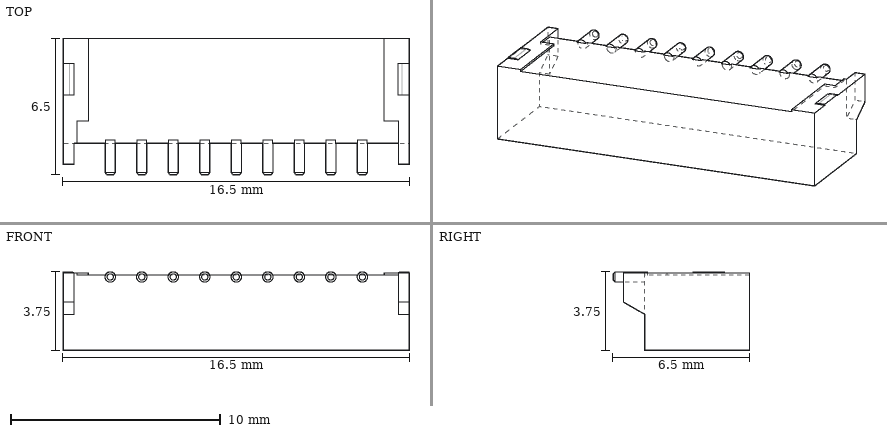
import cadquery as cq

WIDTH = 16.5
DEPTH = 5.0
BODY_TOP = 3.6

CHEEK_TOP = 3.7
RIM_WIDTH = 1.2
RIM_LENGTH = 3.95
ARM_WIDTH = 0.53
ARM_OVERHANG = 1.0
ARM_NOSE_BOTTOM = 2.3
ARM_ROOT_BOTTOM = 1.72

LEFT_RIM_FRONT_WIDTH = 0.66
RIGHT_RIM_FRONT_WIDTH = ARM_WIDTH

PAD_HEIGHT = 0.05
PAD_START = 1.2
PAD_LENGTH = 1.48
PAD_FLAT_WIDTH = 0.31
PAD_WIDTH = 0.51
LEFT_PAD_INSET = 0.0
RIGHT_PAD_INSET = 0.03

PIN_COUNT = 9
PIN_PITCH = 1.5
PIN_RADIUS = 0.25
PIN_BACK = 4.85
PIN_TIP = 6.5
PIN_CHAMFER = 0.1

TOTAL_TOP = CHEEK_TOP + PAD_HEIGHT
LEFT = -WIDTH / 2


def make_body():
    """Main block with its back face on Y = 0 and its underside on Z = 0."""
    return cq.Workplane("XY").box(WIDTH, DEPTH, BODY_TOP, centered=(True, False, False)).translate((0, -DEPTH, 0))


def make_rim(front_width):
    """Stepped strip raised above the body along the left end."""
    return (
        cq.Workplane("XY", origin=(LEFT, 0, BODY_TOP))
        .polyline([
            (0, 0),
            (RIM_WIDTH, 0),
            (RIM_WIDTH, -RIM_LENGTH),
            (front_width, -RIM_LENGTH),
            (front_width, -DEPTH),
            (0, -DEPTH),
        ])
        .close()
        .extrude(CHEEK_TOP - BODY_TOP)
    )


def make_arm():
    """Left arm reaching past the front face, with a sloping underside."""
    arm_front = -DEPTH - ARM_OVERHANG
    return (
        cq.Workplane("YZ", origin=(LEFT, 0, 0))
        .polyline([
            (-RIM_LENGTH, CHEEK_TOP),
            (arm_front, CHEEK_TOP),
            (arm_front, ARM_NOSE_BOTTOM),
            (-DEPTH, ARM_ROOT_BOTTOM),
            (-RIM_LENGTH, ARM_ROOT_BOTTOM),
        ])
        .close()
        .extrude(ARM_WIDTH)
    )


def make_pad(inset):
    """Left pad: flat outer part, then an arc that falls smoothly to the rim."""
    return (
        cq.Workplane("XZ", origin=(LEFT + inset, -PAD_START, CHEEK_TOP))
        .lineTo(0, PAD_HEIGHT)
        .lineTo(PAD_FLAT_WIDTH, PAD_HEIGHT)
        .tangentArcPoint((PAD_WIDTH, 0), relative=False)
        .close()
        .extrude(PAD_LENGTH)
    )


def make_cheek(rim_front_width, pad_inset):
    """Complete left end: rim, arm and pad."""
    return make_rim(rim_front_width).union(make_arm()).union(make_pad(pad_inset))


def make_pin(x):
    """Round pin along Y with a chamfered front tip."""
    return (
        cq.Workplane("XZ", origin=(x, -PIN_BACK, TOTAL_TOP - PIN_RADIUS))
        .circle(PIN_RADIUS)
        .extrude(PIN_TIP - PIN_BACK)
        .faces("<Y")
        .chamfer(PIN_CHAMFER)
    )


left_cheek = make_cheek(LEFT_RIM_FRONT_WIDTH, LEFT_PAD_INSET)
right_cheek = make_cheek(RIGHT_RIM_FRONT_WIDTH, RIGHT_PAD_INSET).mirror("YZ")
result = make_body().union(left_cheek).union(right_cheek)

first_pin_x = -(PIN_COUNT - 1) * PIN_PITCH / 2
for index in range(PIN_COUNT):
    result = result.union(make_pin(first_pin_x + index * PIN_PITCH))